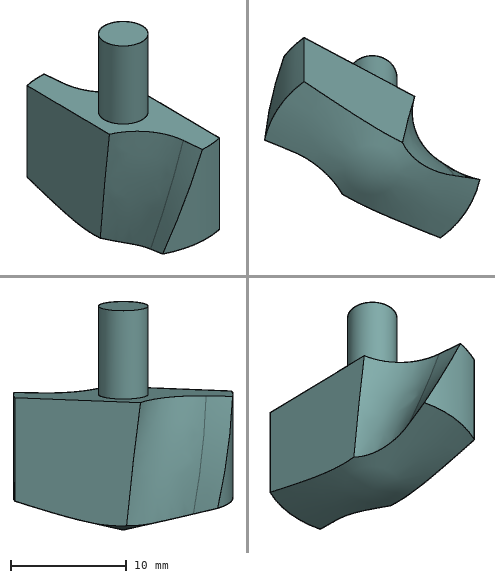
import cadquery as cq

total_height = 19.7
head_diameter = 18.97
head_thickness = 6.88
shank_diameter = 4.3
shank_length = 7.76
point_height = 2.84

gullet_radius = 5.71
face_inner_radius = 7.2
face_angle_at_top = 6.1
twist_on_side = 25.1
cut_margin = 1.97

head_radius = head_diameter / 2
head_height = total_height - shank_length
side_height = head_height - point_height
flute_twist = twist_on_side * head_height / side_height


def make_head():
    """Pointed round body, trimmed to a flat blade centred on Y."""
    pointed_body = (
        cq.Workplane("XZ")
        .polyline([
            (0, 0),
            (head_radius, point_height),
            (head_radius, head_height),
            (0, head_height),
        ])
        .close()
        .revolve(360, (0, 0), (0, 1))
    )
    slab = cq.Workplane("XY").box(
        head_diameter, head_thickness, head_height, centered=(True, True, False)
    )
    return pointed_body.intersect(slab)


def make_flute():
    """Twisted cutter for the flute on the +X side."""
    outer_x = head_radius + cut_margin
    outer_y = -gullet_radius - cut_margin
    gullet_side_x = face_inner_radius - gullet_radius
    flute = (
        cq.Workplane("XY")
        .moveTo(outer_x, 0)
        .lineTo(face_inner_radius, 0)
        .tangentArcPoint((gullet_side_x, -gullet_radius), relative=False)
        .lineTo(gullet_side_x, outer_y)
        .lineTo(outer_x, outer_y)
        .close()
        .twistExtrude(head_height, flute_twist)
    )
    return flute.rotate((0, 0, 0), (0, 0, 1), face_angle_at_top - flute_twist)


def make_shank():
    """Round shank standing on the head."""
    return (
        cq.Workplane("XY", origin=(0, 0, head_height))
        .circle(shank_diameter / 2)
        .extrude(shank_length)
    )


head = make_head()
flute = make_flute()
for side_angle in (0, 180):
    head = head.cut(flute.rotate((0, 0, 0), (0, 0, 1), side_angle))

result = head.union(make_shank())